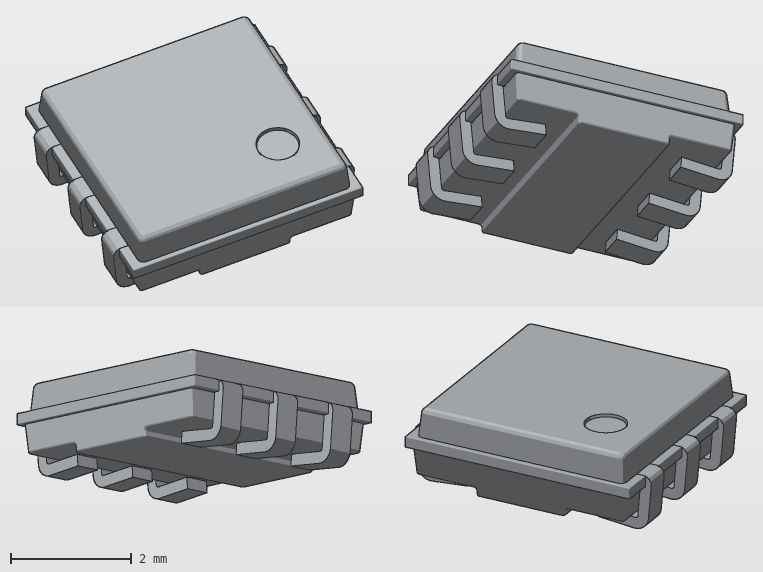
import cadquery as cq
import math


lead_span = 4.45
total_height = 1.51
draft = 5.0

flange_x = 4.1
flange_y = 4.235
flange_top = 1.005
thickness = 0.2
flange_bottom = flange_top - thickness
flange_round = 0.02

cap_base = 3.905
cap_round = 0.11

lower_top = 3.995
lower_round = 0.05
ledge_z = 0.303
pad_bottom = 0.145
pad_half_width = 0.83

dimple_floor_diameter = 0.7
dimple_rim_diameter = 0.725
dimple_depth = 0.05
dimple_x = 0.952
dimple_y = 1.075

leads_per_row = 3
lead_pitch = 1.27
lead_width = 0.455
shoulder_radius = 0.155
heel_radius = 0.25
foot_tip_y = 1.23
lead_root_y = cap_base / 2

lean_cos = math.cos(math.radians(draft))
lean_sin = math.sin(math.radians(draft))
lean_tan = math.tan(math.radians(draft))


def point_at(center, radius, degrees):
    """Point on a circle in the YZ plane, with the angle measured from +Y towards +Z."""
    angle = math.radians(degrees)
    return (center[0] + radius * math.cos(angle), center[1] + radius * math.sin(angle))


def make_cap():
    """Drafted upper half with rounded corners and a rounded top rim."""
    cap = (
        cq.Workplane("XY", origin=(0, 0, flange_top))
        .rect(cap_base, cap_base)
        .extrude(total_height - flange_top, taper=draft)
    )
    return cap.edges("not <Z").fillet(cap_round)


def make_flange():
    """Thin plate with all its edges slightly rounded."""
    return (
        cq.Workplane("XY", origin=(0, 0, flange_bottom))
        .box(flange_x, flange_y, thickness, centered=(True, True, False))
        .edges()
        .fillet(flange_round)
    )


def make_ledge_cutter(side):
    """Space beside the central pad on one Y side, with a rounded inner corner."""
    inner_y = side * pad_half_width
    outer_y = side * lower_top
    corner_y = inner_y + side * lower_round
    arc_offset = lower_round * (1 - math.sqrt(0.5))
    return (
        cq.Workplane("YZ", origin=(-lower_top / 2, 0, 0))
        .moveTo(inner_y, 0)
        .lineTo(inner_y, ledge_z - lower_round)
        .threePointArc(
            (inner_y + side * arc_offset, ledge_z - arc_offset),
            (corner_y, ledge_z),
        )
        .lineTo(outer_y, ledge_z)
        .lineTo(outer_y, 0)
        .close()
        .extrude(lower_top)
    )


def make_lower_body():
    """Drafted lower half whose underside steps down to a pad across X."""
    lower = (
        cq.Workplane("XY", origin=(0, 0, flange_bottom))
        .rect(lower_top, lower_top)
        .extrude(pad_bottom - flange_bottom, taper=draft)
    )
    for side in (-1, 1):
        lower = lower.cut(make_ledge_cutter(side))
    return lower.faces("<X or >X or <Y or >Y or <Z").edges("not >Z").fillet(lower_round)


def make_dimple():
    """Shallow conical recess in the top face."""
    return (
        cq.Workplane("XY", origin=(dimple_x, dimple_y, total_height - dimple_depth))
        .circle(dimple_floor_diameter / 2)
        .workplane(offset=dimple_depth)
        .circle(dimple_rim_diameter / 2)
        .loft()
    )


def lead_x_positions():
    first = -lead_pitch * (leads_per_row - 1) / 2
    return [first + lead_pitch * index for index in range(leads_per_row)]


def make_lead(x, side):
    """One bent strip: flat root, shoulder bend, leaning leg, heel bend and rising foot."""
    leg_normal = -draft
    foot_normal = -90 - draft
    shoulder_middle = (90 + leg_normal) / 2
    heel_middle = (leg_normal + foot_normal) / 2
    heel_inner_radius = heel_radius - thickness

    shoulder = (lead_span / 2 - shoulder_radius, flange_top - shoulder_radius)
    leg_drop = shoulder[1] - heel_radius
    heel_y = shoulder[0] - leg_drop * lean_tan + (shoulder_radius - heel_radius) / lean_cos
    heel = (heel_y, heel_radius)

    foot_start = point_at(heel, heel_radius, foot_normal)
    tip_lower = (foot_tip_y, foot_start[1] + (foot_start[0] - foot_tip_y) * lean_tan)
    tip_upper = (tip_lower[0] + thickness * lean_sin, tip_lower[1] + thickness * lean_cos)

    leg_inner = point_at(heel, heel_inner_radius, leg_normal)
    inside_corner = (leg_inner[0] + (flange_bottom - leg_inner[1]) * lean_tan, flange_bottom)

    strip = (
        cq.Workplane("YZ", origin=(-lead_width / 2, 0, 0))
        .moveTo(lead_root_y, flange_top)
        .lineTo(shoulder[0], flange_top)
        .threePointArc(
            point_at(shoulder, shoulder_radius, shoulder_middle),
            point_at(shoulder, shoulder_radius, leg_normal),
        )
        .lineTo(*point_at(heel, heel_radius, leg_normal))
        .threePointArc(point_at(heel, heel_radius, heel_middle), foot_start)
        .lineTo(*tip_lower)
        .lineTo(*tip_upper)
        .lineTo(*point_at(heel, heel_inner_radius, foot_normal))
        .threePointArc(point_at(heel, heel_inner_radius, heel_middle), leg_inner)
        .lineTo(*inside_corner)
        .lineTo(lead_root_y, flange_bottom)
        .close()
        .extrude(lead_width)
    )
    facing = 0 if side > 0 else 180
    return strip.rotate((0, 0, 0), (0, 0, 1), facing).translate((x, 0, 0))


def make_lead_slot(x, side):
    """Notch through the flange edge that holds one lead."""
    slot_depth = flange_y / 2 - lead_root_y
    slot_y = side * (lead_root_y + slot_depth / 2)
    return (
        cq.Workplane("XY", origin=(x, slot_y, flange_bottom))
        .box(lead_width, slot_depth, thickness, centered=(True, True, False))
    )


lead_places = [(x, side) for side in (-1, 1) for x in lead_x_positions()]


def make_housing():
    """Moulded package body with the dimple and the slots for the leads."""
    housing = make_flange().union(make_cap()).union(make_lower_body())
    housing = housing.cut(make_dimple())
    for x, side in lead_places:
        housing = housing.cut(make_lead_slot(x, side))
    return housing


housing = make_housing()
leads = [make_lead(x, side) for x, side in lead_places]

result = cq.Compound.makeCompound([housing.val(), *[lead.val() for lead in leads]])